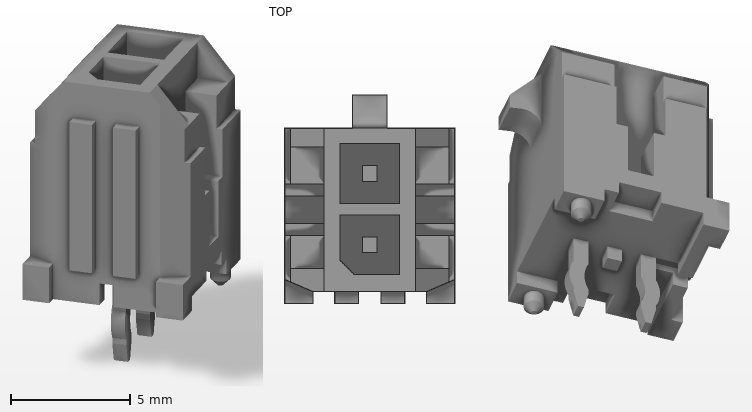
import cadquery as cq
import math


WIDTH = 7.15
BACK_Y = 3.4
FRONT_Y = -3.47
HEIGHT = 9.91
OVERALL_HEIGHT = 13.09

TOWER_WIDTH = 3.85
LEDGE_Z = 6.75
LEDGE_DEPTH = 0.25
SHOULDER_Z = 8.26
BACK_GUSSET = 0.79
FRONT_GUSSET = 0.98
CORNER_CUT_X = 1.19
CORNER_CUT_Y = 0.51

SLOT_Y = -0.03
SLOT_WIDE = 2.17
SLOT_WIDE_Z = 4.61
SLOT_NARROW = 1.15
SLOT_NARROW_Z = 2.1

RIB_WIDTH = 1.01
RIB_X = 0.97
RIB_PROJECTION = 0.5
RIB_TOP_Z = 8.33
FRONT_FOOT_TOP_Z = 1.61
FRONT_FOOT_BACK_Y = -2.81

BASE_Z = 0.67
FOOT_WIDTH = CORNER_CUT_X
BACK_FOOT_LENGTH = 1.8
RECESS_LENGTH = 1.9
RECESS_TOP_Z = 1.27
POST_SIZE = 0.63
NOTCH_TOP_Z = 0.98

PEG_DIAMETER = 0.86
PEG_LENGTH = 0.86
PEG_CHAMFER = 0.31
PEG_INSET_X = 0.56
PEG_INSET_Y = 0.97

LATCH_WIDTH = 1.45
LATCH_PROJECTION = 1.4
LATCH_TOP_Z = 9.33
LATCH_NOSE_TOP_Z = 7.68
LATCH_NOSE_BOTTOM_Z = 6.94
LATCH_RADIUS = 0.79
LATCH_ARC_Z = 6.25
LATCH_UNDERCUT_ANGLE = math.radians(10)

PITCH = 3.0
CAVITY_SIZE = 2.51
CAVITY_FLOOR_Z = 2.1
KEY_CHAMFER = 0.62

CONTACT_X = 0.63
CONTACT_Y = 0.67
CONTACT_TOP_Z = 6.75
BEND_START_Z = -0.62
BEND_END_Z = -2.1
BEND_BULGE = 0.18
TAPER_START_Z = -2.34
TIP_Z = HEIGHT - OVERALL_HEIGHT
TIP_WIDTH = 0.26

HALF_WIDTH = WIDTH / 2
SIDES = (-1, 1)


def block(x0, x1, y0, y1, z0, z1):
    """Axis-aligned block between two opposite corners; the X limits may come in either order."""
    return cq.Workplane("XY").box(abs(x1 - x0), y1 - y0, z1 - z0, centered=False).translate(
        (min(x0, x1), y0, z0)
    )


def shell_body():
    """Front outline extruded back, with its gussets, ledges and bevelled front corners."""
    half_top = TOWER_WIDTH / 2
    half_shoulder = HALF_WIDTH - LEDGE_DEPTH
    outline = [
        (HALF_WIDTH, BASE_Z),
        (HALF_WIDTH, LEDGE_Z),
        (half_shoulder, LEDGE_Z),
        (half_shoulder, SHOULDER_Z),
        (half_top, HEIGHT),
    ]
    mirrored = [(-x, z) for x, z in reversed(outline)]
    body = (
        cq.Workplane("XZ", origin=(0, BACK_Y, 0))
        .polyline(outline + mirrored)
        .close()
        .extrude(BACK_Y - FRONT_Y)
    )
    for side in SIDES:
        gusset_gap = block(
            side * half_top, side * HALF_WIDTH,
            FRONT_Y + FRONT_GUSSET, BACK_Y - BACK_GUSSET,
            SHOULDER_Z, HEIGHT,
        )
        corner = (
            cq.Workplane("XY")
            .polyline([
                (side * HALF_WIDTH, FRONT_Y),
                (side * HALF_WIDTH, FRONT_Y + CORNER_CUT_Y),
                (side * (HALF_WIDTH - CORNER_CUT_X), FRONT_Y),
            ])
            .close()
            .extrude(HEIGHT)
        )
        body = body.cut(gusset_gap).cut(corner)
    return body


def side_slot(side):
    """Stepped slot that is open at the top and reaches in to the tower wall."""
    inner = side * TOWER_WIDTH / 2
    outer = side * HALF_WIDTH
    wide = block(inner, outer, SLOT_Y - SLOT_WIDE / 2, SLOT_Y + SLOT_WIDE / 2, SLOT_WIDE_Z, HEIGHT)
    narrow = block(inner, outer, SLOT_Y - SLOT_NARROW / 2, SLOT_Y + SLOT_NARROW / 2, SLOT_NARROW_Z, HEIGHT)
    return wide.union(narrow)


def base_recess(side):
    """Shallow recess under the side wall."""
    outer = side * HALF_WIDTH
    inner = outer - side * FOOT_WIDTH
    return block(inner, outer, -RECESS_LENGTH / 2, RECESS_LENGTH / 2, BASE_Z, RECESS_TOP_Z)


def side_feet(side):
    """Back foot with its peg, and the taller front foot that stands proud of the front."""
    outer = side * HALF_WIDTH
    inner = outer - side * FOOT_WIDTH
    back = block(inner, outer, BACK_Y - BACK_FOOT_LENGTH, BACK_Y, 0, BASE_Z)
    front = block(inner, outer, FRONT_Y - RIB_PROJECTION, FRONT_FOOT_BACK_Y, 0, FRONT_FOOT_TOP_Z)
    peg = (
        cq.Workplane("XY", origin=(outer - side * PEG_INSET_X, BACK_Y - PEG_INSET_Y, 0))
        .circle(PEG_DIAMETER / 2)
        .extrude(-PEG_LENGTH)
        .faces("<Z")
        .chamfer(PEG_CHAMFER)
    )
    return back.union(peg).union(front)


def front_rib(side):
    middle = side * RIB_X
    return block(
        middle - RIB_WIDTH / 2, middle + RIB_WIDTH / 2,
        FRONT_Y - RIB_PROJECTION, FRONT_Y,
        FRONT_FOOT_TOP_Z, RIB_TOP_Z,
    )


def front_wall():
    """Skirt between the front feet, level with the bottom of the feet."""
    return block(-HALF_WIDTH + FOOT_WIDTH, HALF_WIDTH - FOOT_WIDTH, FRONT_Y, FRONT_FOOT_BACK_Y, 0, BASE_Z)


def front_notch():
    """Notch through the skirt, as wide as a contact, that ends at the front contact."""
    contact_face_y = -PITCH / 2 - CONTACT_Y / 2
    return block(-CONTACT_X / 2, CONTACT_X / 2, FRONT_Y, contact_face_y, 0, NOTCH_TOP_Z)


def center_post():
    return cq.Workplane("XY").rect(POST_SIZE, POST_SIZE).extrude(BASE_Z)


def latch():
    """Ramp with a rounded undercut that runs tangent into the back face."""
    arc_y = BACK_Y + LATCH_RADIUS
    nose_y = BACK_Y + LATCH_PROJECTION

    def arc_point(angle):
        """Point on the undercut at an angle from straight up, positive away from the housing."""
        return (arc_y + LATCH_RADIUS * math.sin(angle), LATCH_ARC_Z + LATCH_RADIUS * math.cos(angle))

    return (
        cq.Workplane("YZ", origin=(-LATCH_WIDTH / 2, 0, 0))
        .moveTo(BACK_Y, LATCH_ARC_Z)
        .threePointArc(arc_point(-math.pi / 4), arc_point(LATCH_UNDERCUT_ANGLE))
        .lineTo(nose_y, LATCH_NOSE_BOTTOM_Z)
        .lineTo(nose_y, LATCH_NOSE_TOP_Z)
        .lineTo(BACK_Y, LATCH_TOP_Z)
        .close()
        .extrude(LATCH_WIDTH)
    )


def cavity(row):
    """Square contact cavity; the front one has a bevelled keying corner."""
    hole = (
        cq.Workplane("XY", origin=(0, row * PITCH / 2, CAVITY_FLOOR_Z))
        .rect(CAVITY_SIZE, CAVITY_SIZE)
        .extrude(HEIGHT - CAVITY_FLOOR_Z)
    )
    if row < 0:
        hole = hole.edges("|Z and <X and <Y").chamfer(KEY_CHAMFER)
    return hole


def make_contact(row):
    """Straight contact whose tail bulges away from the other contact, then tapers."""
    middle = row * PITCH / 2
    outer = middle + row * CONTACT_Y / 2
    inner = middle - row * CONTACT_Y / 2
    bulge = row * BEND_BULGE
    bend_middle_z = (BEND_START_Z + BEND_END_Z) / 2
    return (
        cq.Workplane("YZ", origin=(-CONTACT_X / 2, 0, 0))
        .moveTo(inner, CONTACT_TOP_Z)
        .lineTo(inner, BEND_START_Z)
        .threePointArc((inner + bulge, bend_middle_z), (inner, BEND_END_Z))
        .lineTo(inner, TAPER_START_Z)
        .lineTo(middle - row * TIP_WIDTH / 2, TIP_Z)
        .lineTo(middle + row * TIP_WIDTH / 2, TIP_Z)
        .lineTo(outer, TAPER_START_Z)
        .lineTo(outer, BEND_END_Z)
        .threePointArc((outer + bulge, bend_middle_z), (outer, BEND_START_Z))
        .lineTo(outer, CONTACT_TOP_Z)
        .close()
        .extrude(CONTACT_X)
    )


def make_housing(contacts):
    housing = shell_body().union(front_wall()).union(center_post()).union(latch())
    for side in SIDES:
        housing = housing.cut(side_slot(side)).cut(base_recess(side))
        housing = housing.union(side_feet(side)).union(front_rib(side))
    housing = housing.cut(front_notch())
    for row in SIDES:
        housing = housing.cut(cavity(row))
    for contact in contacts:
        housing = housing.cut(contact)
    return housing


contacts = [make_contact(row) for row in SIDES]
housing = make_housing(contacts)

result = cq.Compound.makeCompound([housing.val(), *[contact.val() for contact in contacts]])